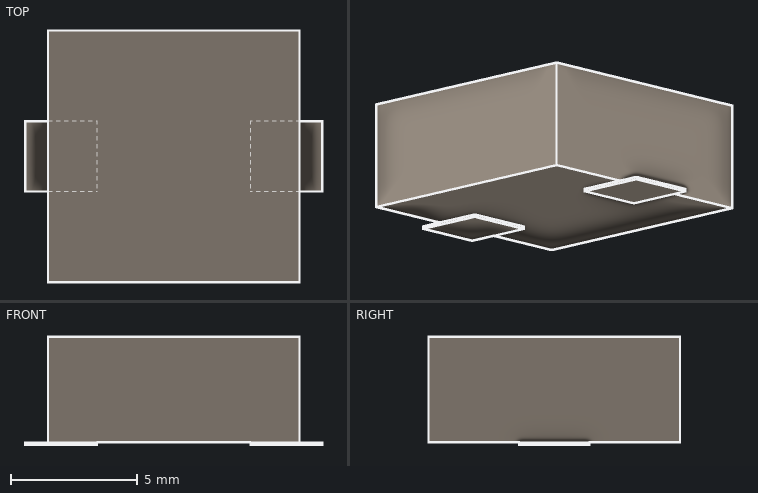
import cadquery as cq

housing_side = 10.0
overall_height = 4.3

terminal_span = 11.8
terminal_length = 2.85
terminal_width = 2.8
terminal_thickness = 0.1

housing_height = overall_height - terminal_thickness
terminal_center_x = (terminal_span - terminal_length) / 2


def make_housing():
    """Square block standing on top of the terminals."""
    return (
        cq.Workplane("XY")
        .workplane(offset=terminal_thickness)
        .rect(housing_side, housing_side)
        .extrude(housing_height)
    )


def make_terminal(side):
    """Flat strip sticking out past the housing; side is -1 for -X or +1 for +X."""
    return (
        cq.Workplane("XY")
        .center(side * terminal_center_x, 0)
        .rect(terminal_length, terminal_width)
        .extrude(terminal_thickness)
    )


housing = make_housing()
terminals = [make_terminal(side) for side in (-1, 1)]

result = cq.Compound.makeCompound([housing.val(), *[terminal.val() for terminal in terminals]])